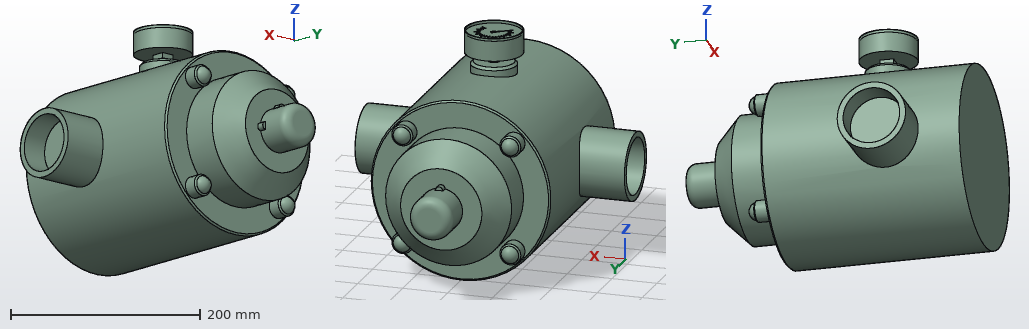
import cadquery as cq
import math

overall_length = 323.0
body_diameter = 200.0
body_rear_chamfer = 2.0

bonnet_diameter = 140.2
bonnet_straight = 40.0
cone_length = 25.0
knob_diameter = 47.5
knob_length = 40.0
knob_fillet = 10.0
body_length = overall_length - bonnet_straight - cone_length - knob_length
bonnet_end = body_length + bonnet_straight
cone_end = bonnet_end + cone_length

pin_diameter = 8.7
pin_length = 7.8
pin_offset = 23.3

nut_spacing = 120.2
nut_radius = 11.5
nut_height = 14.0
nut_bevel_height = 1.5
dome_base_radius = 9.7
dome_height = 7.5

port_span = 300.0
port_y = 82.5
port_diameter = 75.0
port_bore_diameter = 62.0
port_bore_depth = 29.0

overall_height = 244.0
gauge_y = 105.0
gauge_diameter = 63.0
gauge_height = 25.0
gauge_rim = 1.0
gauge_recess = 3.0
stem_width = 15.0
stem_height = 5.8
neck_diameter = 13.0
boss_diameter = 50.0
boss_chamfer = 3.0
gauge_top = overall_height - body_diameter / 2
gauge_bottom = gauge_top - gauge_height
stem_bottom = gauge_bottom - stem_height
boss_top = 109.2
dial_z = gauge_top - gauge_recess

mark_height = 0.3
mark_width = 0.5
scale_radius = 17.0
tick_inner_radius = 15.0
major_tick_radius = 21.0
minor_tick_radius = 18.7
tick_intervals = 20
scale_sweep = 250.0
scale_end_angle = 90 - scale_sweep / 2
needle_angle = 90 + scale_sweep / 2
needle_tip = 15.0
needle_tail = 3.5
needle_tail_width = 4.2
needle_waist_width = 2.0
hub_radius = 2.0


def rod_y(radius, start, length, x=0.0, z=0.0):
    """Cylinder along +Y starting at the given Y position."""
    base = cq.Workplane("XZ", origin=(x, start, z))
    return base.circle(radius).extrude(-length)


def rod_z(radius, bottom, top):
    """Cylinder on the gauge axis between two heights."""
    return cq.Workplane("XY", origin=(0, gauge_y, bottom)).circle(radius).extrude(top - bottom)


def make_body():
    return rod_y(body_diameter / 2, 0, body_length).faces(">Y").chamfer(body_rear_chamfer)


def make_bonnet():
    radius = bonnet_diameter / 2
    profile = (
        cq.Workplane("XY")
        .moveTo(0, body_length)
        .lineTo(radius, body_length)
        .lineTo(radius, bonnet_end)
        .lineTo(radius - cone_length, cone_end)
        .lineTo(0, cone_end)
        .close()
    )
    return profile.revolve(360, (0, 0, 0), (0, 1, 0))


def make_knob():
    knob = rod_y(knob_diameter / 2, cone_end, knob_length).faces(">Y").edges().fillet(knob_fillet)
    for x, z in [(pin_offset, 0), (0, pin_offset)]:
        knob = knob.union(rod_y(pin_diameter / 2, cone_end, pin_length, x, z))
    return knob


def make_nut():
    """Domed nut standing along +Y from the origin."""
    dome_start = nut_height + nut_bevel_height
    dome_end = dome_start + dome_height
    sphere_radius = (dome_base_radius**2 + dome_height**2) / (2 * dome_height)
    half_angle = math.asin(dome_base_radius / sphere_radius) / 2
    dome_middle = (
        sphere_radius * math.sin(half_angle),
        dome_end - sphere_radius * (1 - math.cos(half_angle)),
    )
    profile = (
        cq.Workplane("XY")
        .lineTo(nut_radius, 0)
        .lineTo(nut_radius, nut_height)
        .lineTo(dome_base_radius, dome_start)
        .threePointArc(dome_middle, (0, dome_end))
        .close()
    )
    return profile.revolve(360, (0, 0, 0), (0, 1, 0))


def make_ports():
    """Both side ports as one rod running through the body."""
    plane = cq.Workplane("YZ", origin=(-port_span / 2, port_y, 0))
    return plane.circle(port_diameter / 2).extrude(port_span)


def make_port_bore(side):
    """Blind bore in the port on the -X (side = -1) or +X (side = 1) end."""
    plane = cq.Workplane("YZ", origin=(side * port_span / 2, port_y, 0))
    return plane.circle(port_bore_diameter / 2).extrude(-side * port_bore_depth)


def make_gauge():
    boss = rod_z(boss_diameter / 2, 0, boss_top).faces(">Z").edges().chamfer(boss_chamfer)
    neck = rod_z(neck_diameter / 2, 0, stem_bottom)
    stem = (
        cq.Workplane("XY", origin=(0, gauge_y, stem_bottom))
        .rect(stem_width, stem_width)
        .extrude(stem_height)
    )
    case = rod_z(gauge_diameter / 2, gauge_bottom, gauge_top)
    recess = rod_z(gauge_diameter / 2 - gauge_rim, dial_z, gauge_top)
    return boss.union(neck).union(stem).union(case.cut(recess))


def dial_point(radius, angle):
    turn = math.radians(angle)
    return (radius * math.cos(turn), radius * math.sin(turn))


def make_scale_arc():
    """Narrow ring sector along the graduated range."""
    inner = scale_radius - mark_width / 2
    outer = scale_radius + mark_width / 2
    return (
        cq.Workplane("XY", origin=(0, gauge_y, dial_z))
        .moveTo(*dial_point(inner, scale_end_angle))
        .lineTo(*dial_point(outer, scale_end_angle))
        .threePointArc(dial_point(outer, 90), dial_point(outer, needle_angle))
        .lineTo(*dial_point(inner, needle_angle))
        .threePointArc(dial_point(inner, 90), dial_point(inner, scale_end_angle))
        .close()
        .extrude(mark_height)
    )


def make_tick(index):
    """Radial graduation mark; every second one is long."""
    angle = scale_end_angle + index * scale_sweep / tick_intervals
    outer = major_tick_radius if index % 2 == 0 else minor_tick_radius
    x, y = dial_point((tick_inner_radius + outer) / 2, angle)
    return (
        cq.Workplane("XY", origin=(x, gauge_y + y, dial_z))
        .transformed(rotate=(0, 0, angle))
        .rect(outer - tick_inner_radius, mark_width)
        .extrude(mark_height)
    )


def make_needle():
    blade = (
        cq.Workplane("XY", origin=(0, gauge_y, dial_z))
        .transformed(rotate=(0, 0, needle_angle))
        .moveTo(needle_tip, 0)
        .lineTo(0, needle_waist_width / 2)
        .lineTo(-needle_tail, needle_tail_width / 2)
        .lineTo(-needle_tail, -needle_tail_width / 2)
        .lineTo(0, -needle_waist_width / 2)
        .close()
        .extrude(mark_height)
    )
    return blade.union(rod_z(hub_radius, dial_z, dial_z + 2 * mark_height))


result = make_body().union(make_bonnet()).union(make_knob()).union(make_ports()).union(make_gauge())

for x_side in (-1, 1):
    result = result.cut(make_port_bore(x_side))
    for z_side in (-1, 1):
        nut_place = (x_side * nut_spacing / 2, body_length, z_side * nut_spacing / 2)
        result = result.union(make_nut().translate(nut_place))

result = result.union(make_scale_arc()).union(make_needle())
for tick_index in range(tick_intervals + 1):
    result = result.union(make_tick(tick_index))